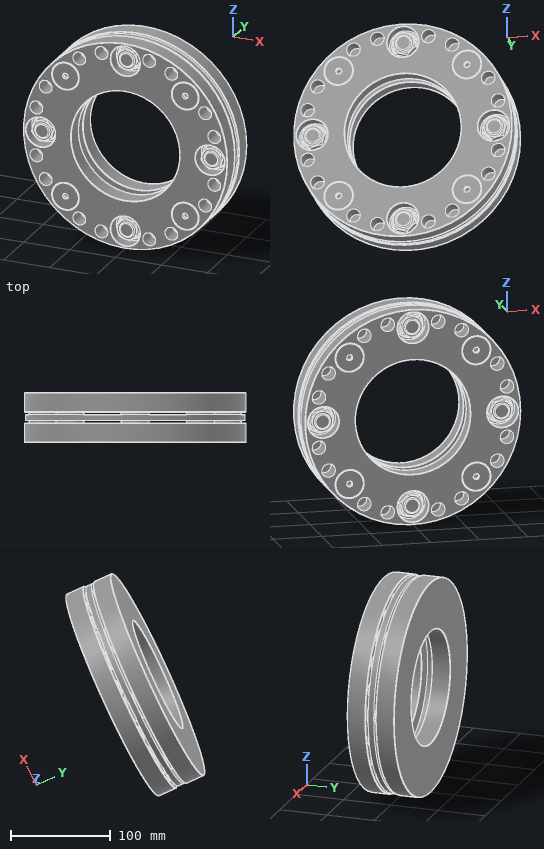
import cadquery as cq
import math

plate_diameter = 222.0
plate_bore = 118.0
stack_length = 50.0
gap = 2.5
middle_thickness = 6.0
plate_thickness = (stack_length - middle_thickness - 2 * gap) / 2
middle_diameter = 220.0
middle_bore = 140.0
rim_chamfer = 0.5

front_y = -stack_length / 2
front_inner_y = front_y + plate_thickness
back_inner_y = -front_inner_y

pitch_radius = 92.1
bolt_angles = [0, 90, 180, 270]
pin_angles = [45, 135, 225, 315]
spacer_diameter = 28.0

pocket_diameter = 32.0
pocket_depth = 15.0
pocket_chamfer = 0.5
collar_diameter = spacer_diameter
collar_top_diameter = 25.3
collar_height = 1.3
nut_sides = 6
nut_flats = 22.0
nut_face_diameter = 20.9
nut_chamfer_angle = 30
nut_turn = 15
nut_face_depth = 4.2
bolt_diameter = 16.5
bolt_tip_diameter = 13.8
bolt_tip_length = 1.0

pin_bore = 30.0
pin_diameter = 29.5
pin_chamfer = 0.7
pin_hole_diameter = 6.0
pin_hole_depth = 3.5
drill_point_angle = 130

small_hole_diameter = 13.8
small_hole_radius = 100.1
small_hole_step = 15


def cylinder(diameter, y_start, y_end):
    """Cylinder along Y between two Y positions."""
    return cq.Workplane("XZ", origin=(0, y_start, 0)).circle(diameter / 2).extrude(y_start - y_end)


def cone(start_diameter, end_diameter, y_start, y_end):
    """Cone or frustum along Y; an end diameter of zero gives a point."""
    solid = cq.Solid.makeCone(
        start_diameter / 2, end_diameter / 2, y_end - y_start, cq.Vector(0, y_start, 0), cq.Vector(0, 1, 0)
    )
    return cq.Workplane(obj=solid)


def at_angles(shape, radius, angles):
    """Copies of a shape moved out along X, then turned around the Y axis from +X toward +Z."""
    copies = cq.Workplane()
    for angle in angles:
        copies = copies.add(shape.translate((radius, 0, 0)).rotate((0, 0, 0), (0, 1, 0), -angle))
    return copies.combine()


def ring_plate(y_start):
    """Outer plate with its rims and bore edges chamfered."""
    y_end = y_start + plate_thickness
    ring = cylinder(plate_diameter, y_start, y_end).cut(cylinder(plate_bore, y_start, y_end))
    return ring.faces("<Y or >Y").edges().chamfer(rim_chamfer)


def nut_and_bolt():
    """Conical collar, hexagon nut and bolt end standing on the pocket floor."""
    floor_y = front_y + pocket_depth
    collar_top_y = floor_y - collar_height
    nut_face_y = front_y + nut_face_depth
    tip_y = nut_face_y - bolt_tip_length

    collar = cone(collar_top_diameter, collar_diameter, collar_top_y, floor_y)

    corner_diameter = nut_flats / math.cos(math.pi / nut_sides)
    hexagon = (
        cq.Workplane("XZ", origin=(0, nut_face_y, 0))
        .transformed(rotate=(0, 0, nut_turn))
        .polygon(nut_sides, corner_diameter)
        .extrude(nut_face_y - floor_y)
    )
    chamfer_depth = (corner_diameter - nut_face_diameter) / 2 * math.tan(math.radians(nut_chamfer_angle))
    chamfer_end_y = nut_face_y + chamfer_depth
    envelope = cone(nut_face_diameter, corner_diameter, nut_face_y, chamfer_end_y)
    envelope = envelope.union(cylinder(corner_diameter, chamfer_end_y, floor_y))
    nut = hexagon.intersect(envelope)

    bolt_tip = cone(bolt_tip_diameter, bolt_diameter, tip_y, nut_face_y)
    return collar.union(nut).union(bolt_tip)


def pin():
    """Chamfered pin with a drilled centre hole in its face."""
    body = cylinder(pin_diameter, front_y, front_inner_y).faces("<Y").chamfer(pin_chamfer)
    hole_end_y = front_y + pin_hole_depth
    point_length = pin_hole_diameter / 2 / math.tan(math.radians(drill_point_angle / 2))
    hole = cylinder(pin_hole_diameter, front_y, hole_end_y)
    point = cone(pin_hole_diameter, 0, hole_end_y, hole_end_y + point_length)
    return body.cut(hole).cut(point)


def front_plate():
    """Front plate with bolt pockets, pin bores and small holes."""
    pocket = cylinder(pocket_diameter, front_y, front_y + pocket_depth)
    mouth_diameter = pocket_diameter + 2 * pocket_chamfer
    pocket_mouth = cone(mouth_diameter, pocket_diameter, front_y, front_y + pocket_chamfer)
    pocket = pocket.union(pocket_mouth)
    bore = cylinder(pin_bore, front_y, front_inner_y)
    small_hole = cylinder(small_hole_diameter, front_y, front_inner_y)
    occupied = bolt_angles + pin_angles
    small_hole_angles = [a for a in range(0, 360, small_hole_step) if a not in occupied]

    plate = ring_plate(front_y)
    plate = plate.cut(at_angles(pocket, pitch_radius, bolt_angles))
    plate = plate.cut(at_angles(bore, pitch_radius, pin_angles))
    return plate.cut(at_angles(small_hole, small_hole_radius, small_hole_angles))


middle_start_y = -middle_thickness / 2
middle_end_y = middle_thickness / 2
middle_plate = cylinder(middle_diameter, middle_start_y, middle_end_y)
middle_plate = middle_plate.cut(cylinder(middle_bore, middle_start_y, middle_end_y))

spacer = cylinder(spacer_diameter, front_inner_y, back_inner_y)

result = (
    front_plate()
    .union(middle_plate)
    .union(ring_plate(back_inner_y))
    .union(at_angles(spacer, pitch_radius, bolt_angles + pin_angles))
    .union(at_angles(nut_and_bolt(), pitch_radius, bolt_angles))
    .union(at_angles(pin(), pitch_radius, pin_angles))
)